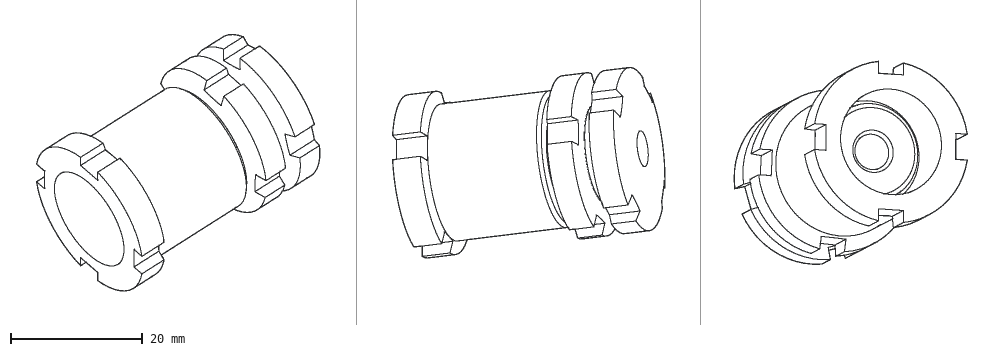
import cadquery as cq
import math

OVERALL_LENGTH = 35.93

RING_RADIUS = 12.5
RING_WIDTH = 5.0
RING_CHAMFER_DEPTH = 2.0
RING_CHAMFER_ANGLE = 15.0
RING_CHAMFER_WIDTH = RING_CHAMFER_DEPTH * math.tan(math.radians(RING_CHAMFER_ANGLE))
RING_SHOULDER_RADIUS = RING_RADIUS - RING_CHAMFER_DEPTH
SLOT_COUNT = 4
SLOT_WIDTH = 4.0
SLOT_FLOOR_RADIUS = RING_SHOULDER_RADIUS
SLOT_CUT_DEPTH = 2 * (RING_RADIUS - SLOT_FLOOR_RADIUS)

SLEEVE_LENGTH = 23.0
SLEEVE_RADIUS = RING_SHOULDER_RADIUS
SLEEVE_END_CHAMFER = 0.57
BORE_RADIUS = 8.15
BORE_DEPTH = 10.0

SCREW_RADIUS = 7.5
SCREW_END_CHAMFER = 0.75
SCREW_END_Y = 8.0
HEAD_START_Y = OVERALL_LENGTH - RING_WIDTH
RELIEF_RADIUS = 6.72
RELIEF_FLAT_LENGTH = 0.8
RELIEF_FILLET = 0.57
SCREW_HOLE_RADIUS = 2.73
HOLE_COUNTERSINK = 0.55

NUT_START_Y = 24.15

NUT_TURN = 2.6
HEAD_TURN = -16.8


def turned(profile):
    """Revolve a closed (radius, y) profile once about the Y axis."""
    return profile.close().revolve(360, (0, 0), (0, 1))


def ring(start_y, front_chamfer=True):
    """Disc of ring width whose rim is chamfered at the back and, if wanted, at the front."""
    end_y = start_y + RING_WIDTH
    profile = cq.Workplane("XY").moveTo(0, start_y)
    if front_chamfer:
        profile = profile.lineTo(RING_SHOULDER_RADIUS, start_y)
        profile = profile.lineTo(RING_RADIUS, start_y + RING_CHAMFER_WIDTH)
    else:
        profile = profile.lineTo(RING_RADIUS, start_y)
    profile = profile.lineTo(RING_RADIUS, end_y - RING_CHAMFER_WIDTH)
    profile = profile.lineTo(RING_SHOULDER_RADIUS, end_y)
    profile = profile.lineTo(0, end_y)
    return turned(profile)


def cut_slots(body, start_y, turn):
    """Cut the evenly spaced spanner slots across the rim of a ring."""
    for index in range(SLOT_COUNT):
        slot = (
            cq.Workplane("XY")
            .box(SLOT_WIDTH, RING_WIDTH, SLOT_CUT_DEPTH, centered=(True, False, False))
            .translate((0, start_y, SLOT_FLOOR_RADIUS))
            .rotate((0, 0, 0), (0, 1, 0), turn + index * 360 / SLOT_COUNT)
        )
        body = body.cut(slot)
    return body


def cylinder(radius, start_y, end_y):
    """Solid cylinder on the Y axis."""
    return cq.Workplane("XZ", origin=(0, start_y, 0)).circle(radius).extrude(start_y - end_y)


def make_sleeve():
    """Flanged sleeve with a wide front bore and a screw hole behind it."""
    barrel = cylinder(SLEEVE_RADIUS, 0, SLEEVE_LENGTH).faces(">Y").chamfer(SLEEVE_END_CHAMFER)
    flange = cut_slots(ring(0, front_chamfer=False), 0, 0)
    return (
        barrel.union(flange)
        .cut(cylinder(BORE_RADIUS, 0, BORE_DEPTH))
        .cut(cylinder(SCREW_RADIUS, BORE_DEPTH, SLEEVE_LENGTH))
    )


def make_lock_nut():
    """Slotted ring that sits on the screw between the sleeve and the screw head."""
    nut = ring(NUT_START_Y).cut(cylinder(SCREW_RADIUS, NUT_START_Y, NUT_START_Y + RING_WIDTH))
    return cut_slots(nut, NUT_START_Y, NUT_TURN)


def make_shank():
    """Screw shank with a chamfered tip and a filleted relief groove under the head."""
    groove_back_y = HEAD_START_Y - RELIEF_FILLET
    groove_front_y = groove_back_y - RELIEF_FLAT_LENGTH
    groove_rim_radius = RELIEF_RADIUS + RELIEF_FILLET
    profile = (
        cq.Workplane("XY")
        .moveTo(0, SCREW_END_Y)
        .lineTo(SCREW_RADIUS - SCREW_END_CHAMFER, SCREW_END_Y)
        .lineTo(SCREW_RADIUS, SCREW_END_Y + SCREW_END_CHAMFER)
        .lineTo(SCREW_RADIUS, groove_front_y - RELIEF_FILLET)
        .lineTo(groove_rim_radius, groove_front_y - RELIEF_FILLET)
        .radiusArc((RELIEF_RADIUS, groove_front_y), RELIEF_FILLET)
        .lineTo(RELIEF_RADIUS, groove_back_y)
        .radiusArc((groove_rim_radius, HEAD_START_Y), RELIEF_FILLET)
        .lineTo(0, HEAD_START_Y)
    )
    return turned(profile)


def make_screw():
    """Hollow screw with a slotted ring head and a countersunk through hole at its tip."""
    head = cut_slots(ring(HEAD_START_Y), HEAD_START_Y, HEAD_TURN)
    countersink_radius = SCREW_HOLE_RADIUS + HOLE_COUNTERSINK
    countersink = turned(
        cq.Workplane("XY")
        .moveTo(0, SCREW_END_Y)
        .lineTo(countersink_radius, SCREW_END_Y)
        .lineTo(SCREW_HOLE_RADIUS, SCREW_END_Y + HOLE_COUNTERSINK)
        .lineTo(0, SCREW_END_Y + HOLE_COUNTERSINK)
    )
    hole = cylinder(SCREW_HOLE_RADIUS, SCREW_END_Y, OVERALL_LENGTH)
    return make_shank().union(head).cut(hole).cut(countersink)


sleeve = make_sleeve()
lock_nut = make_lock_nut()
screw = make_screw()

result = cq.Compound.makeCompound([
    sleeve.solids().val(),
    lock_nut.solids().val(),
    screw.solids().val(),
])